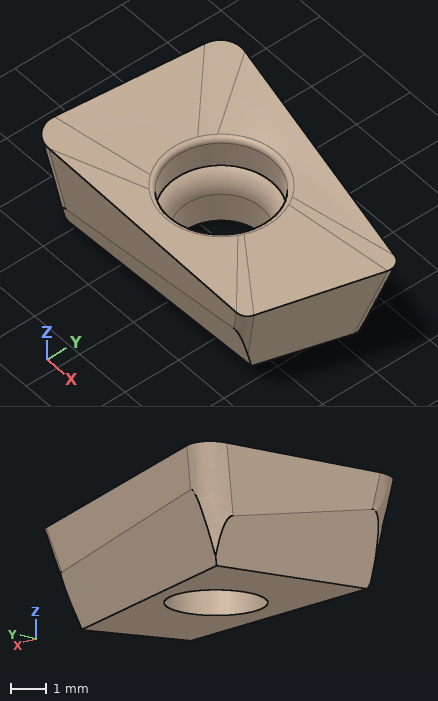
import cadquery as cq
import math


bottom_front_edge = [(-3.92, -2.41), (3.91, -2.17)]
bottom_back_edge = [(4.88, 1.08), (-3.36, 2.62)]
bottom_left_edge = [(-3.36, 2.62), (-3.92, -2.41)]

front_edge = [(-4.15, -2.92), (4.15, -2.92)]
right_edge = [(4.54, -2.64), (5.76, 1.38)]
back_edge = [(5.43, 1.9), (-3.36, 3.71)]
left_edge = [(-4.32, 3.04), (-5.0, -1.99)]

front_lean = 0.097
right_lean = 0.26
back_lean = 0.22
left_lean = 0.22
front_clearance_lean = 0.34
back_clearance_lean = 0.37
left_clearance_lean = 0.42

corner_radii = [0.81, 0.43, 0.43, 0.84]

top_height = 3.09
top_slope_x = -0.031
top_slope_y = 0.047
blank_height = 4.31

rim_height = 2.91
rim_radius = 2.07
rim_round = 0.18
recess_radius = rim_radius - rim_round
seat_height = 1.82
bore_height = 1.08
bore_radius = 1.48

rim_angles = [-142, -126, -27, -22, 28, 37, 143, 159]


def top_z(x, y):
    """Height of the cutting-edge plane."""
    return top_height + top_slope_x * x + top_slope_y * y


def cutting_wall(edge, lean):
    """Wall leaning inward below a cutting edge, as (edge, end heights, lean)."""
    return edge, [top_z(*point) for point in edge], lean


def clearance_wall(edge, lean):
    """Wall leaning outward above an edge of the underside, as (edge, end heights, lean)."""
    return edge, [0, 0], lean


def wall_line(wall, level):
    """Line where a wall crosses a level, as (nx, ny, offset)."""
    (start, end), heights, lean = wall
    dx, dy = end[0] - start[0], end[1] - start[1]
    length = math.hypot(dx, dy)
    points = []
    for (x, y), z in zip((start, end), heights):
        shift = lean * (z - level) / length
        points.append((x - dy * shift, y + dx * shift))
    (x0, y0), (x1, y1) = points
    nx, ny = y0 - y1, x1 - x0
    return nx, ny, nx * x0 + ny * y0


def crossing(first, second):
    """Intersection point of two lines given as (nx, ny, offset)."""
    a, b, c = first
    d, e, f = second
    determinant = a * e - b * d
    return (c * e - b * f) / determinant, (a * f - c * d) / determinant


def section(walls, level):
    """Corners of the four-walled body at a level, from front left."""
    lines = [wall_line(wall, level) for wall in walls]
    return [(*crossing(lines[i - 1], lines[i]), level) for i in range(4)]


def polygon_face(points):
    return cq.Face.makeFromWires(cq.Wire.makePolygon([cq.Vector(*p) for p in points], close=True))


def four_walled_body(walls):
    """Tapered solid with four walls and sharp corners."""
    low = section(walls, 0)
    high = section(walls, blank_height)
    faces = [polygon_face(low), polygon_face(high)]
    for i in range(4):
        j = (i + 1) % 4
        bottom_edge = cq.Edge.makeLine(cq.Vector(*low[i]), cq.Vector(*low[j]))
        upper_edge = cq.Edge.makeLine(cq.Vector(*high[i]), cq.Vector(*high[j]))
        faces.append(cq.Face.makeRuledSurface(bottom_edge, upper_edge))
    return cq.Workplane(cq.Solid.makeSolid(cq.Shell.makeShell(faces)).fix())


def round_corners(body, walls):
    """Fillet the four upright corners, each with its own radius."""
    for corner, radius in zip(section(walls, blank_height / 2), corner_radii):
        body = body.edges(cq.selectors.NearestToPointSelector(corner)).fillet(radius)
    return body


def rim_point(angle):
    radians = math.radians(angle)
    return cq.Vector(rim_radius * math.cos(radians), rim_radius * math.sin(radians), rim_height)


def dish_top(body):
    """Replace the flat top by ruled rake faces running down to the level rim of the hole."""
    top = max(body.faces().vals(), key=lambda face: face.normalAt().z)
    corners = sorted(top.Vertices(), key=lambda v: math.atan2(v.Y, v.X))
    edges = top.Edges()
    rake_faces = []
    rim_arcs = []
    for i, corner in enumerate(corners):
        following = corners[(i + 1) % len(corners)]
        edge = next(e for e in edges
                    if {v.hashCode() for v in e.Vertices()} == {corner.hashCode(), following.hashCode()})
        begin = rim_angles[i]
        sweep = (rim_angles[(i + 1) % len(rim_angles)] - begin) % 360
        points = [rim_point(begin), rim_point(begin + sweep / 2), rim_point(begin + sweep)]
        arc = cq.Edge.makeThreePointArc(*points)
        rim_arcs.append(arc)
        rake_faces.append(cq.Face.makeRuledSurface(edge, arc))
    rim_face = cq.Face.makeFromWires(cq.Wire.assembleEdges(rim_arcs))
    walls = [face for face in body.faces().vals() if not face.isSame(top)]
    shell = cq.Shell.makeShell(walls + rake_faces + [rim_face])
    return cq.Workplane(cq.Solid.makeSolid(shell).fix())


def screw_hole():
    """Rounded rim, straight recess, convex screw seat and through bore."""
    seat_width = recess_radius - bore_radius
    seat_depth = seat_height - bore_height
    seat_round = (seat_width**2 + seat_depth**2) / (2 * seat_width)
    seat_half_angle = math.atan2(seat_width, seat_depth)
    seat_middle = (bore_radius + seat_round * (1 - math.cos(seat_half_angle)),
                   bore_height + seat_round * math.sin(seat_half_angle))
    rim_bend = rim_round * math.sqrt(0.5)
    rim_middle = (rim_radius - rim_bend, rim_height - rim_round + rim_bend)
    return (
        cq.Workplane("XZ")
        .lineTo(bore_radius, 0)
        .lineTo(bore_radius, bore_height)
        .threePointArc(seat_middle, (recess_radius, seat_height))
        .lineTo(recess_radius, rim_height - rim_round)
        .threePointArc(rim_middle, (rim_radius, rim_height))
        .lineTo(rim_radius, blank_height)
        .lineTo(0, blank_height)
        .close()
        .revolve(360, (0, 0, 0), (0, 1, 0))
    )


def above_top():
    """Everything above the cutting-edge plane."""
    plane = cq.Plane((0, 0, top_height), (1, 0, top_slope_x), (-top_slope_x, -top_slope_y, 1))
    return cq.Workplane(plane).rect(4 * blank_height, 4 * blank_height).extrude(blank_height)


front_wall = cutting_wall(front_edge, front_lean)
right_wall = cutting_wall(right_edge, right_lean)
back_wall = cutting_wall(back_edge, back_lean)
left_wall = cutting_wall(left_edge, left_lean)
flank_walls = [front_wall, right_wall, back_wall, left_wall]
flanks = round_corners(four_walled_body(flank_walls), flank_walls)

front_clearance = clearance_wall(bottom_front_edge, front_clearance_lean)
back_clearance = clearance_wall(bottom_back_edge, back_clearance_lean)
left_clearance = clearance_wall(bottom_left_edge, left_clearance_lean)
clearance_walls = [front_clearance, right_wall, back_clearance, left_clearance]
clearance_body = four_walled_body(clearance_walls)

blank = flanks.intersect(clearance_body).cut(above_top())
result = dish_top(blank).cut(screw_hole())